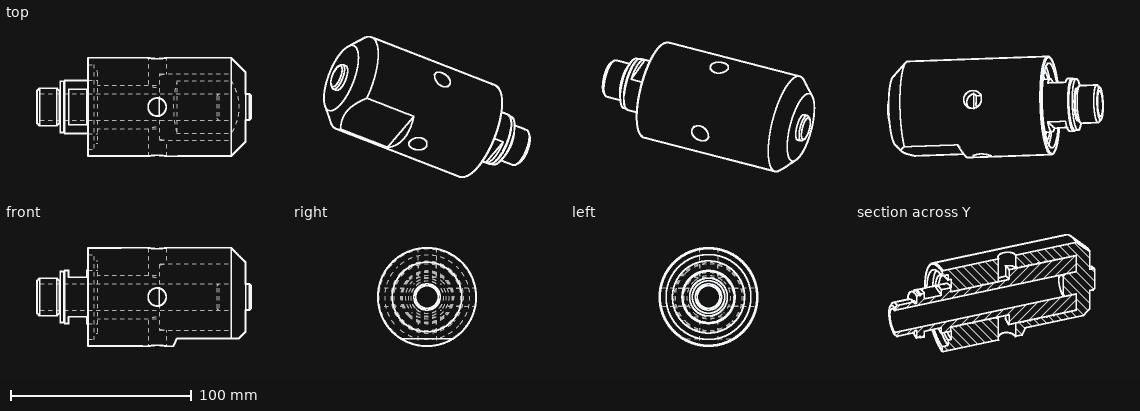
import cadquery as cq
import math

total_length = 118.5
left_end = -total_length / 2
right_end = total_length / 2

housing_radius = 54.5 / 2
plug_stickout = 3.0
housing_left = left_end + 28.0
housing_right = right_end - plug_stickout
front_chamfer = 0.5
rear_chamfer = 8.0
front_recess_radius = 23.5
front_recess_depth = 3.5
inner_recess_radius = 20.0
inner_recess_depth = 2.0
inner_recess_floor = housing_left + front_recess_depth + inner_recess_depth

port_diameter = 10.0
port_x = left_end + 66.5
port_count = 4

flat_height = 23.0
flat_start = left_end + 77.5
flat_ramp_angle = 65.0

bore_radius = 7.25
plug_chamfer = 1.0
plug_inner_length = 8.0

thread_radius = 20.955 / 2
thread_chamfer = 1.5
thread_end = left_end + 12.3
neck_radius = 9.1
flange_radius = 14.25
flange_start = left_end + 12.9
flange_end = left_end + 14.9
flange_groove_radius = 13.7
flange_groove_width = 0.4
hub_radius = 14.7
hub_start = flange_end + flange_groove_width
wrench_flat_start = left_end + 17.6
wrench_flat_end = left_end + 27.6
wrench_flat_width = 22.0
journal_radius = 12.0
collar_radius = 18.5
collar_start = left_end + 67.6
rotor_right = housing_right - rear_chamfer


def turn(profile):
    """Revolve a closed (x, radius) outline about the X axis."""
    return cq.Workplane("XY").polyline(profile).close().revolve(360, (0, 0, 0), (1, 0, 0))


def cylinder(start, end, radius):
    return cq.Workplane("YZ").workplane(offset=start).circle(radius).extrude(end - start)


def rotor_envelope():
    """Outside of the rotor, without its bore and wrench flats."""
    return turn([
        (left_end, 0),
        (left_end, thread_radius - thread_chamfer),
        (left_end + thread_chamfer, thread_radius),
        (thread_end - (thread_radius - neck_radius), thread_radius),
        (thread_end, neck_radius),
        (flange_start, neck_radius),
        (flange_start, flange_radius),
        (flange_end, flange_radius),
        (flange_end, flange_groove_radius),
        (hub_start, flange_groove_radius),
        (hub_start, hub_radius),
        (inner_recess_floor, hub_radius),
        (inner_recess_floor, journal_radius),
        (collar_start, journal_radius),
        (collar_start, collar_radius),
        (rotor_right, collar_radius),
        (rotor_right, 0),
    ])


def make_rotor():
    rotor = rotor_envelope().cut(cylinder(left_end, rotor_right, bore_radius))
    flat_length = wrench_flat_end - wrench_flat_start
    cut_height = hub_radius
    for side in (1, -1):
        cutter = cq.Workplane("XY").box(flat_length, 2 * hub_radius, cut_height)
        rotor = rotor.cut(cutter.translate((
            (wrench_flat_start + wrench_flat_end) / 2,
            0,
            side * (wrench_flat_width + cut_height) / 2,
        )))
    return rotor


def make_rear_plug():
    """Closes the rear of the rotor bore and stands out of the rear face."""
    plug = cylinder(rotor_right - plug_inner_length, right_end, bore_radius)
    return plug.faces("<X or >X").chamfer(plug_chamfer)


def bottom_flat_cutter():
    """Flat along the underside, running out at the front in a steep ramp."""
    depth = housing_radius - flat_height
    ramp_length = depth / math.tan(math.radians(flat_ramp_angle))
    return (
        cq.Workplane("XZ")
        .polyline([
            (flat_start, -flat_height),
            (housing_right, -flat_height),
            (housing_right, -housing_radius),
            (flat_start - ramp_length, -housing_radius),
        ])
        .close()
        .extrude(housing_radius, both=True)
    )


def make_housing():
    housing = cylinder(housing_left, housing_right, housing_radius)
    housing = housing.faces("<X").chamfer(front_chamfer)
    housing = housing.faces(">X").chamfer(rear_chamfer)

    front_recess_floor = housing_left + front_recess_depth
    housing = housing.cut(cylinder(housing_left, front_recess_floor, front_recess_radius))
    housing = housing.cut(cylinder(front_recess_floor, inner_recess_floor, inner_recess_radius))

    housing = housing.cut(bottom_flat_cutter())

    housing = housing.cut(rotor_envelope())
    for i in range(port_count):
        port = (
            cq.Workplane("XY")
            .workplane(offset=bore_radius)
            .center(port_x, 0)
            .circle(port_diameter / 2)
            .extrude(housing_radius)
            .rotate((0, 0, 0), (1, 0, 0), i * 360 / port_count)
        )
        housing = housing.cut(port)

    return housing.union(make_rear_plug())


rotor = make_rotor()
housing = make_housing()

result = cq.Compound.makeCompound([rotor.val(), housing.val()])